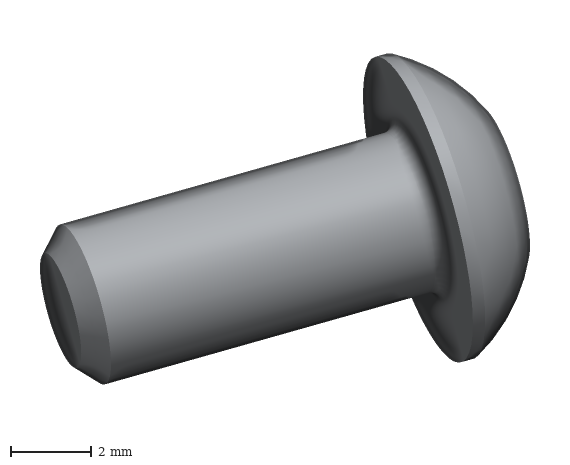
import cadquery as cq
import math

length = 11.73
head_radius = 3.96
head_height = 2.22
rim_height = 0.33
crown_radius = 2.08
shank_radius = 2.08
tip_radius = 1.49
tip_chamfer_length = 0.57
neck_fillet = 0.3

head_base = length - head_height
rim_top = head_base + rim_height

dome_centre = (length**2 + crown_radius**2 - rim_top**2 - head_radius**2) / (2 * (length - rim_top))
dome_radius = math.hypot(head_radius, rim_top - dome_centre)
rim_angle = math.atan2(rim_top - dome_centre, head_radius)
crown_angle = math.atan2(length - dome_centre, crown_radius)
middle_angle = (rim_angle + crown_angle) / 2
dome_middle = (
    dome_radius * math.cos(middle_angle),
    dome_centre + dome_radius * math.sin(middle_angle),
)

neck_middle = (
    shank_radius + neck_fillet * (1 - math.cos(math.pi / 4)),
    head_base - neck_fillet * (1 - math.sin(math.pi / 4)),
)

profile = (
    cq.Workplane("XY")
    .lineTo(tip_radius, 0)
    .lineTo(shank_radius, tip_chamfer_length)
    .lineTo(shank_radius, head_base - neck_fillet)
    .threePointArc(neck_middle, (shank_radius + neck_fillet, head_base))
    .lineTo(head_radius, head_base)
    .lineTo(head_radius, rim_top)
    .threePointArc(dome_middle, (crown_radius, length))
    .lineTo(0, length)
    .close()
)

result = profile.revolve(360, (0, 0, 0), (0, 1, 0))